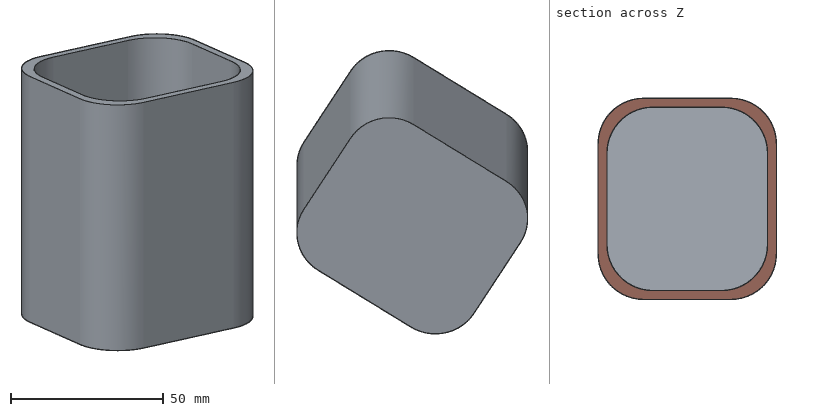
import cadquery as cq

inner_width = 52.6
inner_depth = 60.1
wall = 3.0
floor_thickness = 3.0
height = 85.0
corner_radius = 15.0

outer_width = inner_width + 2 * wall
outer_depth = inner_depth + 2 * wall


def rounded_block(width, depth, block_height):
    """Upright block standing on Z = 0 with rounded vertical edges."""
    block = cq.Workplane("XY").box(width, depth, block_height, centered=(True, True, False))
    return block.edges("|Z").fillet(corner_radius)


shell = rounded_block(outer_width, outer_depth, height)
cavity = rounded_block(inner_width, inner_depth, height - floor_thickness)
result = shell.cut(cavity.translate((0, 0, floor_thickness)))